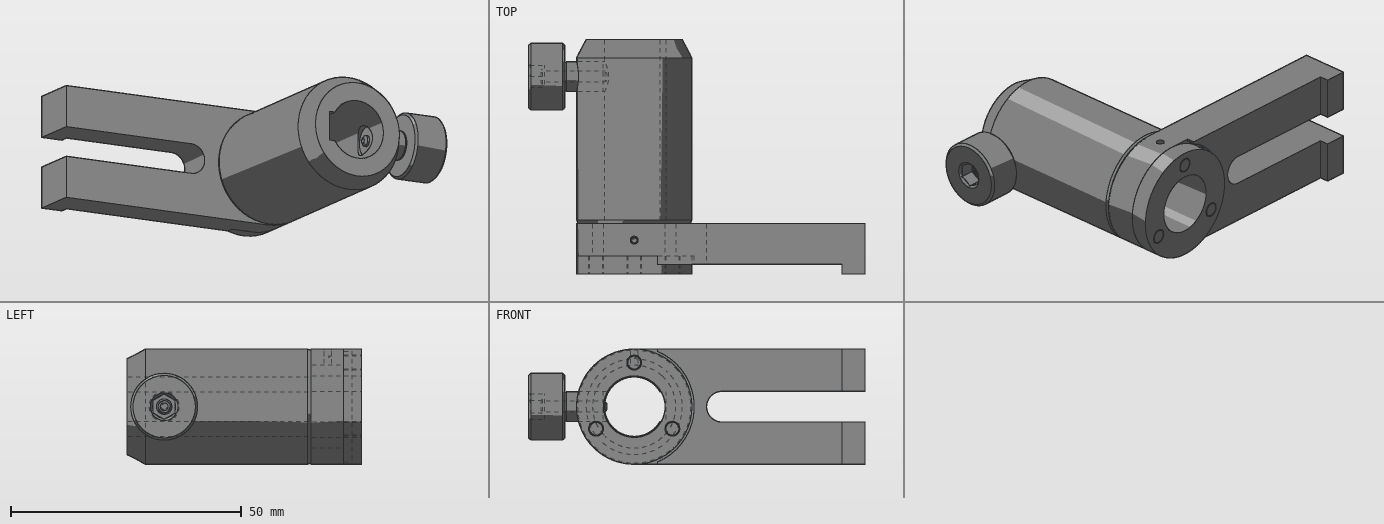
import cadquery as cq
import math


outer_radius = 12.5
flange_thickness = 3.9
fork_back = 11.0
holder_back = 50.85

holder_bore_radius = 6.42
bore_relief_width = 6.4
bore_relief_reach = 6.9
base_chamfer_length = 0.75
base_chamfer_depth = 0.25
nose_length = 4.0
nose_depth = 2.1

fork_end = 50.0
fork_front = 2.1
foot_length = 5.0
recess_radius = 13.0
recess_edge = 5.0
slot_width = 6.6
slot_start = 19.0

bushing_bore_radius = 6.67
neck_radius = 9.0
pin_radius = 1.4
pin_hole_radius = 1.6
pin_circle_radius = 9.55
pin_angles = (90, 210, 330)

set_screw_y = 7.35
set_screw_radius = 0.85
set_screw_sink = 1.5
set_screw_socket_radius = 0.6
set_screw_socket_depth = 0.5

screw_y = 42.77
knob_left = -22.91
knob_length = 7.9
knob_radius = 7.25
knob_chamfer = 0.5
stud_radius = 3.25
stud_end = -6.8
undercut_radius = 3.1
undercut_length = 0.3
socket_flats = 4.76
socket_depth = 3.5
countersink_radius = 3.0
countersink_depth = 0.5

plunger_head_radius = 1.67
plunger_head_length = 0.8
plunger_head_chamfer = 0.35
plunger_dimple_radius = 0.85
plunger_dimple_depth = 0.3
plunger_radius = 1.2
plunger_tip_radius = 0.6
plunger_tip_length = 0.5
plunger_tip = -5.85

knob_right = knob_left + knob_length
socket_floor = knob_left + socket_depth


def cylinder_y(radius, start, end):
    """Cylinder around the Y axis from Y = start to Y = end."""
    return cq.Workplane("XZ", origin=(0, start, 0)).circle(radius).extrude(start - end)


def cylinder_screw(radius, start, end):
    """Cylinder around the thumbscrew axis from X = start to X = end."""
    return cq.Workplane("YZ", origin=(start, screw_y, 0)).circle(radius).extrude(end - start)


def fork_block(x_start, x_end, y_end, height):
    """Block from Y = 0 to Y = y_end, centred on Z = 0."""
    return (
        cq.Workplane("XY", origin=(x_start, 0, 0))
        .box(x_end - x_start, y_end, height, centered=(False, False, True))
    )


def make_holder():
    half_section = [
        (-holder_bore_radius, fork_back),
        (base_chamfer_depth - outer_radius, fork_back),
        (-outer_radius, fork_back + base_chamfer_length),
        (-outer_radius, holder_back - nose_length),
        (nose_depth - outer_radius, holder_back),
        (-holder_bore_radius, holder_back),
    ]
    tube = cq.Workplane("XY").polyline(half_section).close().revolve(360, (0, 0, 0), (0, 1, 0))
    screw_hole = cylinder_screw(stud_radius, knob_right, 0)
    bore_relief = cq.Workplane("XY", origin=(0, fork_back, 0)).box(
        bore_relief_reach, holder_back - fork_back, bore_relief_width, centered=(False, False, True)
    )
    return tube.cut(screw_hole).cut(bore_relief)


def set_screw_hole():
    return (
        cq.Workplane("XY", origin=(0, set_screw_y, neck_radius))
        .circle(set_screw_radius)
        .extrude(outer_radius - neck_radius)
    )


def make_fork():
    height = 2 * outer_radius
    body = fork_block(0, fork_end, fork_back, height).union(cylinder_y(outer_radius, 0, fork_back))
    front_relief = fork_block(0, fork_end - foot_length, fork_front, height)
    flange_relief = fork_block(-outer_radius, recess_edge, flange_thickness, height)
    flange_recess = cylinder_y(recess_radius, 0, flange_thickness)
    slot = fork_block(slot_start, fork_end, fork_back, slot_width)
    slot_round = cylinder_y(slot_width / 2, 0, fork_back).translate((slot_start, 0, 0))
    neck_hole = cylinder_y(neck_radius, 0, fork_back)
    cuts = (front_relief, flange_relief, flange_recess, slot, slot_round, neck_hole, set_screw_hole())
    for cut in cuts:
        body = body.cut(cut)
    return body


def make_set_screw():
    """Set screw that fills its hole from the bushing neck up to below the fork edge."""
    top = outer_radius - set_screw_sink
    above_screw = cq.Workplane("XY", origin=(0, set_screw_y, top)).circle(outer_radius).extrude(outer_radius)
    socket = cq.Workplane("XY").add(
        cq.Solid.makeCone(
            0,
            set_screw_socket_radius,
            set_screw_socket_depth,
            cq.Vector(0, set_screw_y, top - set_screw_socket_depth),
        )
    )
    return set_screw_hole().cut(above_screw).cut(socket)


def pin_cylinder(angle, radius):
    """Cylinder through the flange at the given angle on the pin circle."""
    x = pin_circle_radius * math.cos(math.radians(angle))
    z = pin_circle_radius * math.sin(math.radians(angle))
    return cylinder_y(radius, 0, flange_thickness).translate((x, 0, z))


def make_bushing():
    bushing = cylinder_y(outer_radius, 0, flange_thickness)
    bushing = bushing.union(cylinder_y(neck_radius, 0, fork_back))
    bushing = bushing.cut(cylinder_y(bushing_bore_radius, 0, fork_back))
    for angle in pin_angles:
        bushing = bushing.cut(pin_cylinder(angle, pin_hole_radius))
    return bushing


def make_plunger():
    """Stepped pin with a dimpled, chamfered head and a tapered tip that reaches into the bore."""
    head_left = socket_floor - plunger_head_length
    half_section = [
        (head_left + plunger_dimple_depth, 0),
        (head_left + plunger_dimple_depth, plunger_dimple_radius),
        (head_left, plunger_dimple_radius),
        (head_left, plunger_head_radius - plunger_head_chamfer),
        (head_left + plunger_head_chamfer, plunger_head_radius),
        (socket_floor, plunger_head_radius),
        (socket_floor, plunger_radius),
        (plunger_tip - plunger_tip_length, plunger_radius),
        (plunger_tip, plunger_tip_radius),
        (plunger_tip, 0),
    ]
    plunger = cq.Workplane("XY").polyline(half_section).close().revolve(360, (0, 0, 0), (1, 0, 0))
    return plunger.translate((0, screw_y, 0))


def make_thumbscrew():
    knob = cylinder_screw(knob_radius, knob_left, knob_right).edges().chamfer(knob_chamfer)
    undercut = cylinder_screw(undercut_radius, knob_right, knob_right + undercut_length)
    stud = cylinder_screw(stud_radius, knob_right + undercut_length, stud_end).union(undercut)
    socket = (
        cq.Workplane("YZ", origin=(knob_left, screw_y, 0))
        .polygon(6, socket_flats, circumscribed=True)
        .extrude(socket_depth)
    )
    countersink = (
        cq.Workplane("YZ", origin=(knob_left, screw_y, 0))
        .circle(countersink_radius)
        .extrude(countersink_depth, taper=45)
    )
    plunger_hole = cylinder_screw(plunger_radius, knob_left, stud_end)
    return knob.union(stud).cut(socket).cut(countersink).cut(plunger_hole)


holder = make_holder()
fork = make_fork()
bushing = make_bushing()
set_screw = make_set_screw()
thumbscrew = make_thumbscrew()
plunger = make_plunger()
pins = [pin_cylinder(angle, pin_radius) for angle in pin_angles]

result = cq.Compound.makeCompound(
    [
        holder.val(),
        fork.val(),
        bushing.val(),
        set_screw.val(),
        thumbscrew.val(),
        plunger.val(),
        *[pin.val() for pin in pins],
    ]
)